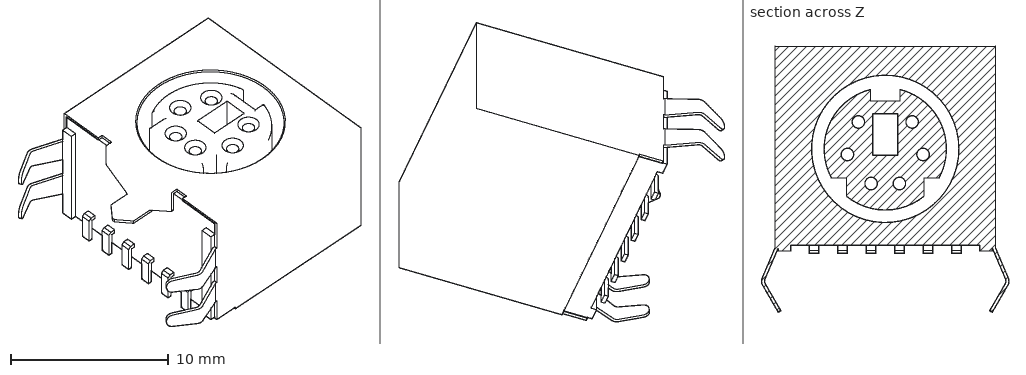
import cadquery as cq
import math


shell_width = 14.0
shell_length = 12.7
shell_height = 8.6
sheet = 0.2
bend_radius = 0.07
half_width = shell_width / 2
front_opening_length = 1.64
front_opening_rise = 0.14

housing_front = 0.05
housing_top = shell_height - sheet

rail_width = 0.81
rail_top = 7.47
rail_reach = 0.32

flap_half_width = 2.99
flap_front = housing_front - sheet
flap_bend_radius = 0.1
flap_shoulder = 6.96
flap_bottom = 5.73
notch_width = 0.86
notch_depth = 0.34
tab_bend_radius = 0.08
tab_half_width = 1.03
tab_shoulder_reach = 1.59
tab_reach = 2.37
tab_tip_half_width = 0.1

socket_y = 6.17
socket_radius = 4.66
socket_chamfer = 0.08
socket_depth = 6.0
socket_floor = shell_height - socket_depth
plug_radius = 3.89
plug_height = housing_top - socket_floor
plug_rounding = 0.2
key_half_width = 0.93
key_floor = 3.05
shoulder_x = 2.47
shoulder_y = -1.86
slot_width = 1.55
slot_length = 2.6
slot_center = 0.91
contact_spots = [(1.7, 1.7), (2.4, -0.35), (0.9, -2.2)]
contact_radius = 0.39
contact_mouth_radius = 0.68
contact_mouth_angle = 90

pin_count = 6
pin_pitch = 1.8
pin_width = 0.6
pin_thickness = 0.27
pin_front = -0.45
pin_top = 1.5
pin_bottom = -0.4
pin_chamfer = 0.17

leg_centers = (2.59, 5.6)
leg_half_span = 7.85
leg_root = -0.1
leg_tip = -4.2
leg_out_angle = math.radians(23)
leg_in_angle = math.radians(30)
leg_bend_radius = 0.54
leg_root_height = 1.64
leg_tip_height = 0.95
leg_tip_radius = 0.44


def box(x0, x1, y0, y1, z0, z1):
    """Axis-aligned block between two opposite corners."""
    return cq.Workplane("XY").box(x1 - x0, y1 - y0, z1 - z0, centered=False).translate((x0, y0, z0))


def make_shell():
    shell = box(-half_width, half_width, 0, shell_length, 0, shell_height)
    shell = shell.edges("(>Z and (not <Y)) or (>Y and <Z)").fillet(bend_radius)
    inside = half_width - sheet
    cavity = box(-inside, inside, 0, shell_length - sheet, sheet, housing_top)
    opening = box(-half_width, half_width, 0, front_opening_length, 0, front_opening_rise)
    floor_gap = box(-inside, inside, 0, front_opening_length, 0, sheet)
    shell = shell.cut(cavity).cut(opening).cut(floor_gap)
    for side in (-1, 1):
        notch_x = side * (flap_half_width + notch_width / 2)
        notch = box(-notch_width / 2, notch_width / 2, 0, notch_depth, housing_top, shell_height)
        shell = shell.cut(notch.translate((notch_x, 0, 0)))
    return shell


def make_housing():
    inside = half_width - sheet
    housing = box(-inside, inside, housing_front, shell_length - sheet, sheet, housing_top)
    for x0 in (-inside, inside - rail_width):
        rail = box(x0, x0 + rail_width, -rail_reach, housing_front, sheet, rail_top)
        housing = housing.union(rail)
    return housing


def make_flap():
    flap = (
        cq.Workplane("XZ", origin=(0, housing_front, 0))
        .moveTo(-flap_half_width, shell_height)
        .lineTo(flap_half_width, shell_height)
        .lineTo(flap_half_width, flap_shoulder)
        .lineTo(tab_half_width, flap_bottom)
        .lineTo(tab_half_width, flap_bottom - sheet)
        .lineTo(-tab_half_width, flap_bottom - sheet)
        .lineTo(-tab_half_width, flap_bottom)
        .lineTo(-flap_half_width, flap_shoulder)
        .close()
        .extrude(sheet)
        .edges(">Z and <Y")
        .fillet(flap_bend_radius)
    )
    tab = (
        cq.Workplane("XY", origin=(0, 0, flap_bottom - sheet))
        .moveTo(-tab_half_width, housing_front)
        .lineTo(-tab_half_width, -tab_shoulder_reach)
        .lineTo(-tab_tip_half_width, -tab_reach)
        .lineTo(tab_tip_half_width, -tab_reach)
        .lineTo(tab_half_width, -tab_shoulder_reach)
        .lineTo(tab_half_width, housing_front)
        .close()
        .extrude(sheet)
    )
    tab_bend = cq.selectors.NearestToPointSelector((0, flap_front, flap_bottom))
    return flap.union(tab).edges("|X").edges(tab_bend).fillet(tab_bend_radius)


def make_plug():
    """Keyed plug standing on the socket floor, centred on the socket axis."""
    plug = cq.Workplane("XY").circle(plug_radius).extrude(plug_height)
    plug = plug.cut(box(-key_half_width, key_half_width, key_floor, plug_radius, 0, plug_height))
    for x0, x1 in ((-plug_radius, -shoulder_x), (shoulder_x, plug_radius)):
        plug = plug.cut(box(x0, x1, -plug_radius, shoulder_y, 0, plug_height))
    plug = plug.faces(">Z").edges().fillet(plug_rounding)

    plug = plug.cut(
        cq.Workplane("XY").center(0, slot_center).rect(slot_width, slot_length).extrude(plug_height)
    )
    contacts = [(side * x, y) for x, y in contact_spots for side in (-1, 1)]
    return (
        plug.faces(">Z")
        .workplane(origin=(0, 0, plug_height))
        .pushPoints(contacts)
        .cskHole(2 * contact_radius, 2 * contact_mouth_radius, contact_mouth_angle, depth=plug_height)
    )


def make_socket_cutter():
    """Round bore, widened by a chamfer at its mouth."""
    bore_top = socket_depth - socket_chamfer
    return (
        cq.Workplane("XZ")
        .lineTo(socket_radius, 0)
        .lineTo(socket_radius, bore_top)
        .lineTo(socket_radius + socket_chamfer, socket_depth)
        .lineTo(0, socket_depth)
        .close()
        .revolve(360, (0, 0), (0, 1))
    )


def make_pin(x):
    """L-shaped pin: out of the housing front, then straight down."""
    pin_back = pin_front + pin_thickness
    return (
        cq.Workplane("YZ", origin=(x - pin_width / 2, 0, 0))
        .moveTo(housing_front, pin_top)
        .lineTo(pin_front + pin_chamfer, pin_top)
        .lineTo(pin_front, pin_top - pin_chamfer)
        .lineTo(pin_front, pin_bottom)
        .lineTo(pin_back, pin_bottom)
        .lineTo(pin_back, pin_top - pin_thickness)
        .lineTo(housing_front, pin_top - pin_thickness)
        .close()
        .extrude(pin_width)
    )


def make_leg(center_z):
    """Spring leg on the +X side: leans outward, bends, then leans back in to a round tip."""
    half_turn = (leg_out_angle + leg_in_angle) / 2
    skew = (leg_in_angle - leg_out_angle) / 2

    corner_x = leg_half_span + leg_bend_radius * (math.cos(skew) / math.cos(half_turn) - 1)
    corner_y = leg_root - (corner_x - half_width) / math.tan(leg_out_angle)
    tip_x = corner_x - (corner_y - leg_tip) * math.tan(leg_in_angle)

    miter = sheet / math.cos(half_turn)
    inner_corner = (corner_x - miter * math.cos(skew), corner_y + miter * math.sin(skew))
    inner_tip = (tip_x - sheet * math.cos(leg_in_angle), leg_tip + sheet * math.sin(leg_in_angle))
    inner_root = leg_root - sheet * math.tan(leg_out_angle / 2)

    strip = (
        cq.Workplane("XY", origin=(0, 0, -leg_root_height / 2))
        .moveTo(half_width, 0)
        .lineTo(half_width, leg_root)
        .lineTo(corner_x, corner_y)
        .lineTo(tip_x, leg_tip)
        .lineTo(*inner_tip)
        .lineTo(*inner_corner)
        .lineTo(half_width - sheet, inner_root)
        .lineTo(half_width - sheet, 0)
        .close()
        .extrude(leg_root_height)
    )
    strip = strip.edges("|Z").edges(">X").fillet(leg_bend_radius)
    inner_edge = cq.selectors.NearestToPointSelector((*inner_corner, 0))
    strip = strip.edges("|Z").edges(inner_edge).fillet(leg_bend_radius - sheet)

    taper = (
        cq.Workplane("YZ")
        .moveTo(0, leg_root_height / 2)
        .lineTo(leg_root, leg_root_height / 2)
        .lineTo(leg_tip, leg_tip_height / 2)
        .lineTo(leg_tip, -leg_tip_height / 2)
        .lineTo(leg_root, -leg_root_height / 2)
        .lineTo(0, -leg_root_height / 2)
        .close()
        .extrude(2 * leg_half_span)
    )
    leg = strip.intersect(taper)
    leg = leg.faces("<Y").edges("not |Z").fillet(leg_tip_radius)
    return leg.translate((0, 0, center_z))


socket_spot = (0, socket_y, socket_floor)

result = make_shell().union(make_housing()).union(make_flap())
result = result.cut(make_socket_cutter().translate(socket_spot))
result = result.union(make_plug().translate(socket_spot))

for index in range(pin_count):
    result = result.union(make_pin((index - (pin_count - 1) / 2) * pin_pitch))

for leg_z in leg_centers:
    right_leg = make_leg(leg_z)
    result = result.union(right_leg).union(right_leg.mirror("YZ"))